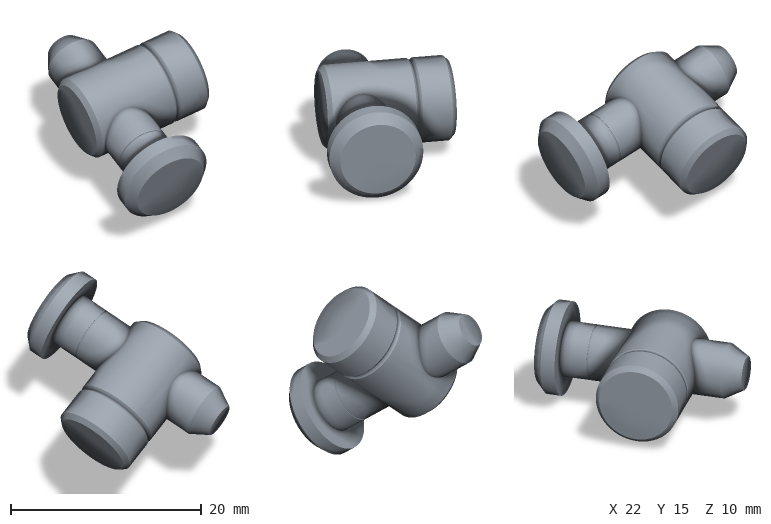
import cadquery as cq

PIN_LENGTH = 22.0
PIN_RADIUS = 2.95
NOSE_LENGTH = 2.0
NOSE_TIP_RADIUS = 1.8
HEAD_DIAMETER = 10.0
HEAD_THICKNESS = 2.5
HEAD_CHAMFER = 1.0
PIN_GROOVE_X = 16.5
PIN_GROOVE_WIDTH = 0.18
PIN_GROOVE_DEPTH = 0.07

BARREL_X = 9.2
BARREL_DIAMETER = 9.0
BARREL_BACK_Y = 10.0
BARREL_LENGTH = 13.75
BARREL_CHAMFER = 0.5
V_GROOVE_FROM_BACK = 4.0
V_GROOVE_DEPTH = 0.3
CROSS_HOLE_RADIUS = 3.0

HEAD_RADIUS = HEAD_DIAMETER / 2
BARREL_RADIUS = BARREL_DIAMETER / 2
BARREL_FRONT_Y = BARREL_BACK_Y - BARREL_LENGTH


def make_pin():
    """Turned pin: tapered nose, plain shank with a fine groove, chamfered head."""
    head_start = PIN_LENGTH - HEAD_THICKNESS
    groove_start = PIN_GROOVE_X - PIN_GROOVE_WIDTH / 2
    groove_end = PIN_GROOVE_X + PIN_GROOVE_WIDTH / 2
    groove_radius = PIN_RADIUS - PIN_GROOVE_DEPTH
    profile = [
        (0, 0),
        (0, NOSE_TIP_RADIUS),
        (NOSE_LENGTH, PIN_RADIUS),
        (groove_start, PIN_RADIUS),
        (groove_start, groove_radius),
        (groove_end, groove_radius),
        (groove_end, PIN_RADIUS),
        (head_start, PIN_RADIUS),
        (head_start, HEAD_RADIUS),
        (PIN_LENGTH - HEAD_CHAMFER, HEAD_RADIUS),
        (PIN_LENGTH, HEAD_RADIUS - HEAD_CHAMFER),
        (PIN_LENGTH, 0),
    ]
    return cq.Workplane("XY").polyline(profile).close().revolve(360, (0, 0, 0), (1, 0, 0))


def make_barrel():
    """Turned barrel with chamfered ends, a V-groove and a cross hole for the pin."""
    groove_y = BARREL_BACK_Y - V_GROOVE_FROM_BACK
    profile = [
        (0, BARREL_FRONT_Y),
        (BARREL_RADIUS - BARREL_CHAMFER, BARREL_FRONT_Y),
        (BARREL_RADIUS, BARREL_FRONT_Y + BARREL_CHAMFER),
        (BARREL_RADIUS, groove_y - V_GROOVE_DEPTH),
        (BARREL_RADIUS - V_GROOVE_DEPTH, groove_y),
        (BARREL_RADIUS, groove_y + V_GROOVE_DEPTH),
        (BARREL_RADIUS, BARREL_BACK_Y - BARREL_CHAMFER),
        (BARREL_RADIUS - BARREL_CHAMFER, BARREL_BACK_Y),
        (0, BARREL_BACK_Y),
    ]
    turned = (
        cq.Workplane("XY", origin=(BARREL_X, 0, 0))
        .polyline(profile)
        .close()
        .revolve(360, (0, 0, 0), (0, 1, 0))
    )
    cross_hole = cq.Workplane("YZ").circle(CROSS_HOLE_RADIUS).extrude(PIN_LENGTH)
    return turned.cut(cross_hole)


pin = make_pin()
barrel = make_barrel()

result = cq.Compound.makeCompound([pin.val(), barrel.val()])